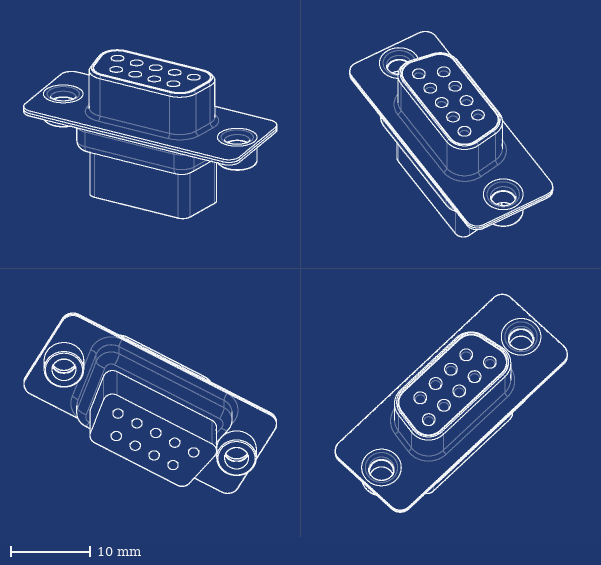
import cadquery as cq
import math


sheet = 0.37
flange_length = 30.8
flange_width = 12.4
flange_corner_radius = 1.5

sleeve_half_length = 8.13
sleeve_half_width = 4.05
sleeve_corner_radius = 2.62
sleeve_height = 6.5
sleeve_wall = 0.45
sleeve_rim_chamfer_height = 0.37
sleeve_rim_chamfer_width = 0.28
sleeve_foot_radius = 0.5

cup_half_length = 9.6
cup_half_width = 5.42
cup_corner_radius = 2.0
cup_depth = 4.3
cup_rim_radius = 1.15
cup_foot_radius = 0.75

block_half_length = 8.05
block_half_width = 3.6
block_corner_radius = 1.17
block_depth = 11.05
sleeve_gap = 0.1

contact_pitch = 2.75
row_spacing = 2.83
front_row_count = 4
back_row_count = 5
contact_diameter = 1.3
contact_mouth_diameter = 1.6
contact_mouth_depth = 0.62

rivet_spacing = 25.0
rivet_diameter = 5.0
rivet_depth = 3.1
rivet_edge_chamfer = 0.15
rivet_hole_diameter = 3.0
rivet_counterbore_diameter = 3.2
rivet_counterbore_depth = 1.23
rivet_mouth_radius = 0.43

side_slope = math.radians(10)
rivet_centers = [(-rivet_spacing / 2, 0), (rivet_spacing / 2, 0)]


def d_prism(half_length, half_width, corner_radius, bottom, top):
    """D-shaped prism: a trapezoid, wider at +Y, with four rounded corners.

    half_length reaches to the outermost point of the rounded wide corners.
    """
    corner_y = half_width - corner_radius
    wide_corner_x = half_length - corner_radius
    side_x = wide_corner_x - corner_y * math.tan(side_slope) + corner_radius / math.cos(side_slope)
    taper = half_width * math.tan(side_slope)
    corners = [
        (-side_x - taper, half_width),
        (side_x + taper, half_width),
        (side_x - taper, -half_width),
        (-side_x + taper, -half_width),
    ]
    return (
        cq.Workplane("XY", origin=(0, 0, bottom))
        .polyline(corners)
        .close()
        .extrude(top - bottom)
        .edges("|Z")
        .fillet(corner_radius)
    )


def flange(bottom):
    return (
        cq.Workplane("XY", origin=(0, 0, bottom))
        .rect(flange_length, flange_width)
        .extrude(sheet)
        .edges("|Z")
        .fillet(flange_corner_radius)
    )


def outline_edges(half_length, half_width, level):
    """Selects the edges of a D outline lying at one height."""
    margin = 0.15
    return cq.selectors.BoxSelector(
        (-half_length - margin, -half_width - margin, level - margin),
        (half_length + margin, half_width + margin, level + margin),
    )


def cut_rivet_seats(shell):
    seats = (
        cq.Workplane("XY", origin=(0, 0, -sheet))
        .pushPoints(rivet_centers)
        .circle(rivet_diameter / 2)
        .extrude(2 * sheet)
    )
    return shell.cut(seats)


def sleeve_inset(inset, top):
    """Prism concentric with the sleeve and set in from its outside."""
    return d_prism(
        sleeve_half_length - inset, sleeve_half_width - inset, sleeve_corner_radius - inset, 0, top
    )


def cup_cavity():
    """Space inside the cup, one sheet thickness from its outside."""
    cavity = d_prism(
        cup_half_length - sheet, cup_half_width - sheet, cup_corner_radius - sheet, sheet - cup_depth, 0
    )
    return cavity.faces("<Z").edges().fillet(cup_rim_radius - sheet)


def block_prism():
    return d_prism(block_half_length, block_half_width, block_corner_radius, -block_depth, 0)


def make_front_shell():
    sleeve = sleeve_inset(0, sleeve_height)
    sleeve = sleeve.faces(">Z").edges().chamfer(sleeve_rim_chamfer_height, sleeve_rim_chamfer_width)
    shell = flange(0).union(sleeve)
    shell = shell.edges(outline_edges(sleeve_half_length, sleeve_half_width, sheet)).fillet(sleeve_foot_radius)
    shell = shell.cut(sleeve_inset(sleeve_wall, sleeve_height))
    return cut_rivet_seats(shell)


def make_rear_shell():
    cup = d_prism(cup_half_length, cup_half_width, cup_corner_radius, -cup_depth, 0)
    cup = cup.faces("<Z").edges().fillet(cup_rim_radius)
    shell = flange(-sheet).union(cup)
    shell = shell.edges(outline_edges(cup_half_length, cup_half_width, -sheet)).fillet(cup_foot_radius)
    shell = shell.cut(cup_cavity()).cut(block_prism())
    return cut_rivet_seats(shell)


def contact_centers():
    rows = [(back_row_count, row_spacing / 2), (front_row_count, -row_spacing / 2)]
    return [
        ((index - (count - 1) / 2) * contact_pitch, y)
        for count, y in rows
        for index in range(count)
    ]


def make_insulator():
    body = block_prism().union(cup_cavity())
    body = body.union(sleeve_inset(sleeve_wall + sleeve_gap, sleeve_height))
    for x, y in contact_centers():
        bore = cq.Workplane("XY", origin=(x, y, -block_depth)).circle(contact_diameter / 2)
        mouth = (
            cq.Workplane("XY", origin=(x, y, sleeve_height))
            .circle(contact_mouth_diameter / 2)
            .workplane(offset=-contact_mouth_depth)
            .circle(contact_diameter / 2)
            .loft(ruled=True)
        )
        body = body.cut(bore.extrude(block_depth + sleeve_height)).cut(mouth)
    return body


def make_rivet(center):
    x, y = center
    rivet = (
        cq.Workplane("XY", origin=(x, y, -rivet_depth))
        .circle(rivet_diameter / 2)
        .extrude(rivet_depth + sheet)
        .faces("<Z")
        .edges()
        .chamfer(rivet_edge_chamfer)
    )
    rivet = rivet.faces(">Z").workplane(origin=(x, y, 0)).cboreHole(
        rivet_hole_diameter, rivet_counterbore_diameter, rivet_counterbore_depth
    )
    return rivet.faces(">Z").edges(cq.selectors.RadiusNthSelector(0)).fillet(rivet_mouth_radius)


front_shell = make_front_shell()
rear_shell = make_rear_shell()
insulator = make_insulator()
rivets = [make_rivet(center) for center in rivet_centers]

result = cq.Compound.makeCompound(
    [front_shell.val(), rear_shell.val(), insulator.val(), *[rivet.val() for rivet in rivets]]
)